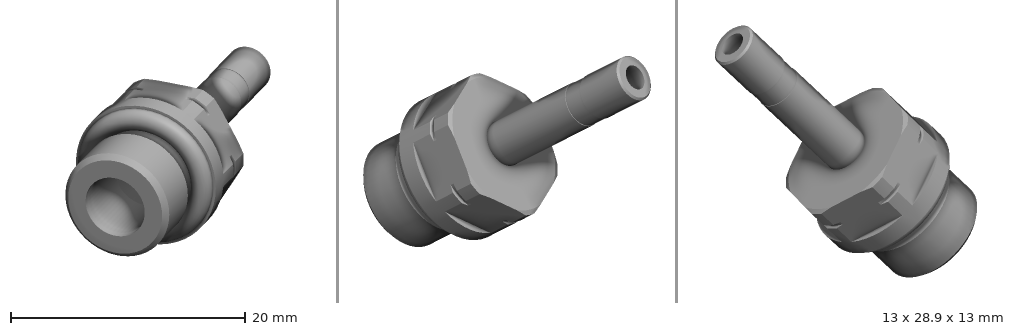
import cadquery as cq
import math

total_length = 28.95
thread_chamfer = 0.45
undercut_start = 4.9
undercut_chamfer = 0.43
shoulder_y = 6.63
flats_start = 8.3
hex_end = 12.77
tube_groove_start = 22.45
tube_groove_end = 24.27

thread_radius = 4.85
undercut_radius = 4.43
collar_radius = 13.0 / 2
tube_radius = 2.03
tube_groove_radius = 1.97
tube_chamfer = 0.17

across_flats = 11.82
hex_chamfer_length = 0.15
hex_chamfer_width = 0.4

mark_y = 10.65
mark_outer_width = 0.5
mark_inner_width = 0.35
mark_depth = 0.25

socket_radius = 2.75
socket_depth = 6.37
through_radius = 1.1
drill_tip_angle = 118.0

seal_outer_radius = 6.23
seal_section_radius = 0.98


def revolve_about_y(profile):
    """Revolve a profile of (radius, y) points a full turn about the Y axis."""
    return profile.close().revolve(360, (0, 0, 0), (0, 1, 0))


def revolve_points(points):
    return revolve_about_y(cq.Workplane("XY").polyline(points))


def make_turned_blank():
    return revolve_points([
        (0, 0),
        (thread_radius - thread_chamfer, 0),
        (thread_radius, thread_chamfer),
        (thread_radius, undercut_start - undercut_chamfer),
        (undercut_radius, undercut_start),
        (undercut_radius, shoulder_y),
        (collar_radius, shoulder_y),
        (collar_radius, hex_end - hex_chamfer_length),
        (collar_radius - hex_chamfer_width, hex_end),
        (tube_radius, hex_end),
        (tube_radius, tube_groove_start),
        (tube_groove_radius, tube_groove_start),
        (tube_groove_radius, tube_groove_end),
        (tube_radius, tube_groove_end),
        (tube_radius, total_length - tube_chamfer),
        (tube_radius - tube_chamfer, total_length),
        (0, total_length),
    ])


def make_flats_cutter():
    """Material outside the hexagon, over the length of the wrench flats."""
    corner_diameter = across_flats / math.cos(math.pi / 6)
    return (
        cq.Workplane("XZ", origin=(0, hex_end, 0))
        .circle(corner_diameter)
        .polygon(6, corner_diameter)
        .extrude(hex_end - flats_start)
    )


def make_mark_cutter():
    return revolve_points([
        (collar_radius - mark_depth, mark_y - mark_inner_width / 2),
        (collar_radius, mark_y - mark_outer_width / 2),
        (collar_radius, mark_y + mark_outer_width / 2),
        (collar_radius - mark_depth, mark_y + mark_inner_width / 2),
    ])


def make_bore_cutter():
    tip_length = (socket_radius - through_radius) / math.tan(math.radians(drill_tip_angle / 2))
    return revolve_points([
        (0, 0),
        (socket_radius, 0),
        (socket_radius, socket_depth),
        (through_radius, socket_depth + tip_length),
        (through_radius, total_length),
        (0, total_length),
    ])


def make_housing():
    return (
        make_turned_blank()
        .cut(make_flats_cutter())
        .cut(make_mark_cutter())
        .cut(make_bore_cutter())
    )


def make_seal():
    """Half-round ring, flat against the shoulder and trimmed to fit the undercut."""
    center_radius = seal_outer_radius - seal_section_radius
    trim_height = math.sqrt(seal_section_radius ** 2 - (center_radius - undercut_radius) ** 2)
    return revolve_about_y(
        cq.Workplane("XY")
        .moveTo(undercut_radius, shoulder_y)
        .lineTo(undercut_radius, shoulder_y - trim_height)
        .threePointArc((center_radius, shoulder_y - seal_section_radius), (seal_outer_radius, shoulder_y))
    )


housing = make_housing()
seal = make_seal()

result = cq.Compound.makeCompound([housing.val(), seal.val()])